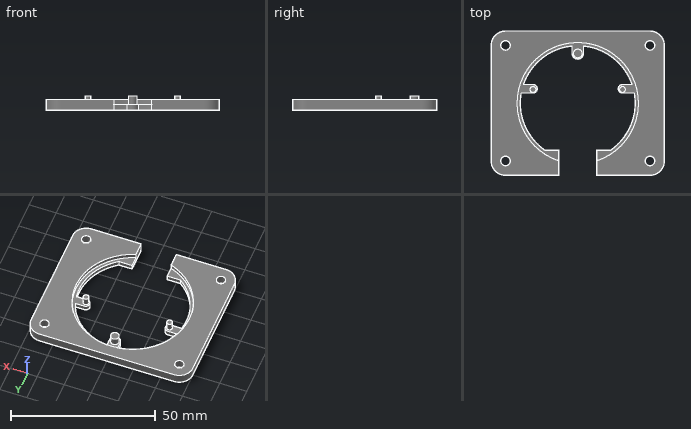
import cadquery as cq

PLATE_LENGTH = 60.0
PLATE_WIDTH = 50.0
PLATE_THICKNESS = 3.8
CORNER_RADIUS = 5.0

MOUNTING_HOLE_DIAMETER = 3.2
HOLE_SPACING_X = PLATE_LENGTH - 2 * CORNER_RADIUS
HOLE_SPACING_Y = PLATE_WIDTH - 2 * CORNER_RADIUS

RECESS_RADIUS = 21.0
OPENING_RADIUS = 19.85
LEDGE_HEIGHT = 2.0
LEDGE_FLAT_Y = -16.25

SLOT_WIDTH = 13.0

PIN_TOP = 5.0

LUG_ROOT_RADIUS = (OPENING_RADIUS + RECESS_RADIUS) / 2

LARGE_LUG_WIDTH = 4.0
LARGE_LUG_Y = 17.2
LARGE_PIN_DIAMETER = 3.0

SMALL_LUG_WIDTH = 3.0
SMALL_LUG_X = 15.5
SMALL_LUG_Y = 5.0
SMALL_PIN_DIAMETER = 2.0
SMALL_PIN_Y = 4.75


def make_plate():
    """Rounded plate with four mounting holes."""
    plate = (
        cq.Workplane("XY")
        .rect(PLATE_LENGTH, PLATE_WIDTH)
        .extrude(PLATE_THICKNESS)
        .edges("|Z")
        .fillet(CORNER_RADIUS)
    )
    holes = (
        cq.Workplane("XY")
        .rect(HOLE_SPACING_X, HOLE_SPACING_Y, forConstruction=True)
        .vertices()
        .circle(MOUNTING_HOLE_DIAMETER / 2)
        .extrude(PLATE_THICKNESS)
    )
    return plate.cut(holes)


def make_opening():
    """Through opening below the recess, cut off flat on the -Y side to leave a wider ledge there."""
    disc = cq.Workplane("XY").circle(OPENING_RADIUS).extrude(LEDGE_HEIGHT)
    kept_length = OPENING_RADIUS - LEDGE_FLAT_Y
    kept_side = (
        cq.Workplane("XY")
        .center(0, LEDGE_FLAT_Y + kept_length / 2)
        .rect(2 * OPENING_RADIUS, kept_length)
        .extrude(LEDGE_HEIGHT)
    )
    return disc.intersect(kept_side)


def make_recess():
    """Wider round recess above the ledge."""
    return (
        cq.Workplane("XY")
        .workplane(offset=LEDGE_HEIGHT)
        .circle(RECESS_RADIUS)
        .extrude(PLATE_THICKNESS - LEDGE_HEIGHT)
    )


def make_slot():
    """Straight slot from the centre of the opening out through the -Y edge."""
    slot_length = PLATE_WIDTH / 2
    return (
        cq.Workplane("XY")
        .center(0, -slot_length / 2)
        .rect(SLOT_WIDTH, slot_length)
        .extrude(PLATE_THICKNESS)
    )


def make_lug(tip_x, tip_y, width, length, direction):
    """Ledge-high arm with a round tip; it runs from the tip centre at the given angle in degrees."""
    tip = cq.Workplane("XY").circle(width / 2).extrude(LEDGE_HEIGHT)
    arm = cq.Workplane("XY").center(length / 2, 0).rect(length, width).extrude(LEDGE_HEIGHT)
    lug = tip.union(arm).rotate((0, 0, 0), (0, 0, 1), direction)
    return lug.translate((tip_x, tip_y, 0))


def make_pin(x, y, diameter):
    """Round pin that stands on a lug."""
    return (
        cq.Workplane("XY")
        .workplane(offset=LEDGE_HEIGHT)
        .center(x, y)
        .circle(diameter / 2)
        .extrude(PIN_TOP - LEDGE_HEIGHT)
    )


def make_large_lug():
    """Lug and pin pointing inwards from the +Y side."""
    lug = make_lug(0, LARGE_LUG_Y, LARGE_LUG_WIDTH, LUG_ROOT_RADIUS - LARGE_LUG_Y, 90)
    return lug.union(make_pin(0, LARGE_LUG_Y, LARGE_PIN_DIAMETER))


def make_small_lug(side):
    """Lug and pin pointing inwards from the +X side (side = 1) or the -X side (side = -1)."""
    lug_x = side * SMALL_LUG_X
    direction = 0 if side > 0 else 180
    lug = make_lug(lug_x, SMALL_LUG_Y, SMALL_LUG_WIDTH, LUG_ROOT_RADIUS - SMALL_LUG_X, direction)
    return lug.union(make_pin(lug_x, SMALL_PIN_Y, SMALL_PIN_DIAMETER))


result = make_plate().cut(make_recess()).cut(make_opening()).cut(make_slot())
result = result.union(make_large_lug())
for side in (-1, 1):
    result = result.union(make_small_lug(side))